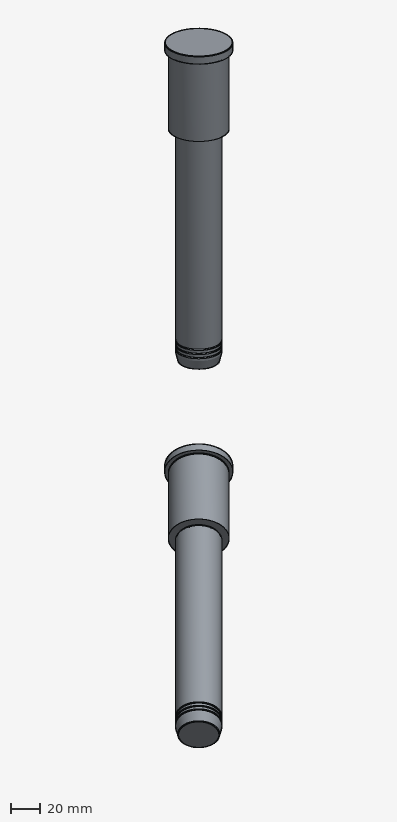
import cadquery as cq

total_length = 241.0
flange_diameter = 47.0
flange_thickness = 6.0
flange_chamfer = 0.5
collar_diameter = 42.0
head_length = 65.5

flange_relief_width = 1.0
flange_relief_depth = 0.5
neck_length = 1.7
neck_diameter = 30.1

shaft_diameter = 32.0
tip_length = 7.0
tip_diameter = 28.7
tip_chamfer = 0.5

groove_count = 3
groove_radius = 0.5
groove_pitch = 3.1
lowest_groove_height = 9.5

collar_bottom = total_length - head_length
flange_bottom = total_length - flange_thickness


def cylinder(diameter, bottom, top):
    """Solid cylinder on the Z axis between two heights."""
    return cq.Workplane("XY").workplane(offset=bottom).circle(diameter / 2).extrude(top - bottom)


def ring_groove(diameter, depth, bottom, width):
    """Ring to cut from a cylinder of the given diameter."""
    outer = cylinder(diameter + 2 * depth, bottom, bottom + width)
    return outer.cut(cylinder(diameter - 2 * depth, bottom, bottom + width))


def round_groove(height):
    """Torus centred on the shaft surface, cutting a half-round groove."""
    return cq.Workplane(cq.Solid.makeTorus(shaft_diameter / 2, groove_radius, cq.Vector(0, 0, height)))


def make_head():
    flange = cylinder(flange_diameter, flange_bottom, total_length)
    flange = flange.faces(">Z").edges().chamfer(flange_chamfer)
    collar = cylinder(collar_diameter, collar_bottom, flange_bottom)
    relief_bottom = flange_bottom - flange_relief_width
    relief = ring_groove(collar_diameter, flange_relief_depth, relief_bottom, flange_relief_width)
    return flange.union(collar.cut(relief))


def make_shaft():
    shaft_top = collar_bottom - neck_length
    shaft = cylinder(shaft_diameter, tip_length, shaft_top)
    for index in range(groove_count):
        center = lowest_groove_height + index * groove_pitch
        shaft = shaft.cut(round_groove(center))
    neck = cylinder(neck_diameter, shaft_top, collar_bottom)
    return shaft.union(neck)


def make_tip():
    tip = (
        cq.Workplane("XY")
        .circle(tip_diameter / 2)
        .workplane(offset=tip_length)
        .circle(shaft_diameter / 2)
        .loft(ruled=True)
    )
    return tip.faces("<Z").edges().chamfer(tip_chamfer)


result = make_head().union(make_shaft()).union(make_tip())